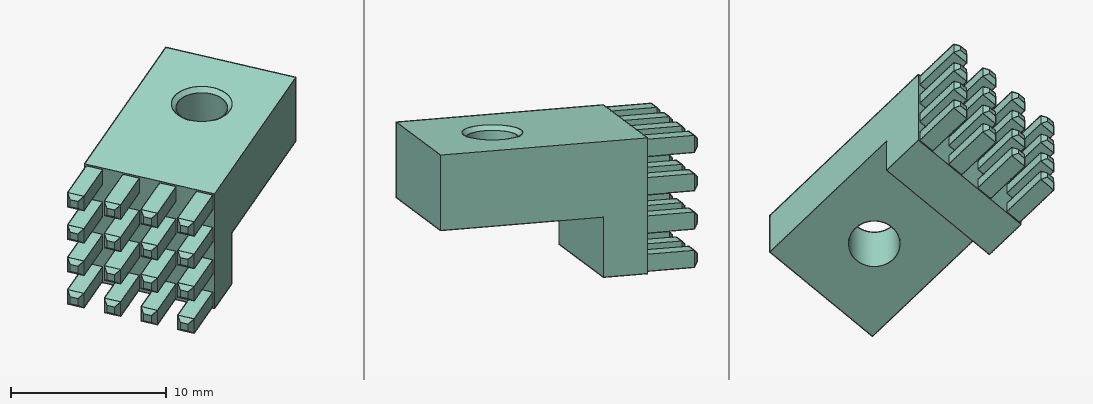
import cadquery as cq

width = 9.0
height = width
body_length = 14.0
arm_height = 5.0
foot_length = 3.0

hole_diameter = 3.3
hole_chamfer = 0.3
hole_chamfer_angle = 45
hole_from_back = 5.0

pins_per_side = 4
pin_pitch = 2.54
pin_size = 1.14
pin_length = 3.5
pin_tip_chamfer = 0.3


def make_body():
    """L-profile in the YZ plane, pin face at Y = 0, extruded across the width."""
    profile = [
        (0, 0),
        (foot_length, 0),
        (foot_length, height - arm_height),
        (body_length, height - arm_height),
        (body_length, height),
        (0, height),
    ]
    return cq.Workplane("YZ").polyline(profile).close().extrude(width / 2, both=True)


def make_hole():
    """Through hole with a conical entry on the top face."""
    radius = hole_diameter / 2
    top = cq.Workplane("XY").workplane(offset=height).center(0, body_length - hole_from_back)
    bore = top.circle(radius).extrude(-arm_height)
    entry = top.circle(radius + hole_chamfer).extrude(-hole_chamfer, taper=hole_chamfer_angle)
    return bore.union(entry)


def make_pins():
    """Square grid of pins, centred on the pin face, with chamfered tips."""
    return (
        cq.Workplane("XZ", origin=(0, 0, height / 2))
        .rarray(pin_pitch, pin_pitch, pins_per_side, pins_per_side)
        .rect(pin_size, pin_size)
        .extrude(pin_length)
        .faces("<Y")
        .chamfer(pin_tip_chamfer)
    )


result = make_body().cut(make_hole()).union(make_pins())